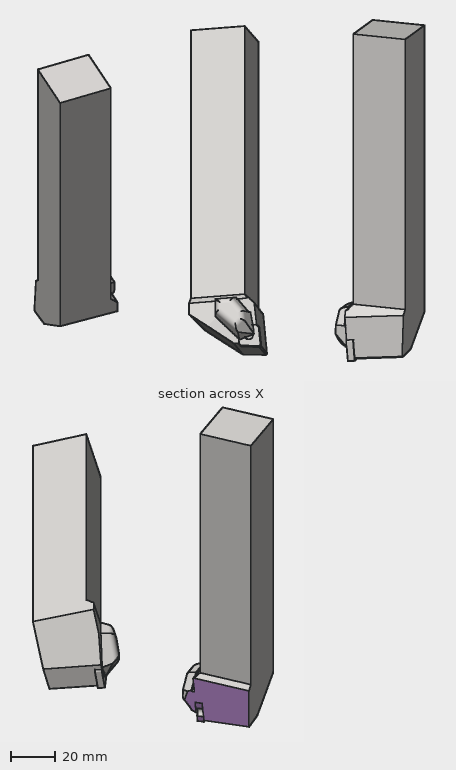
import cadquery as cq
import math


SHANK_SIZE = 25.0
TOOL_LENGTH = 151.35
TOOL_WIDTH = 32.36
TOOL_HEIGHT = 33.66
HEAD_TOP_Y = 28.36
SHOULDER_Z = 24.9
HEEL_Z = 17.3
HEEL_ANGLE = 36.0
HEEL_DRAFT = 1.5
FLANK_INSET = 0.75
CORNER_BEVEL = 0.5

INSCRIBED_DIAMETER = 9.525
INSERT_THICKNESS = 3.18
INSERT_HOLE_DIAMETER = 3.81
NOSE_RADIUS = 0.8
NOSE_ANGLE = 80.0
TILT_ANGLE = 6.0

CLAMP_BASE_Y = 26.0
CLAMP_TAPER = 20.0
CLAMP_SIDE_BEND_Z = 15.6
CLAMP_OUTLINE = [
    (2.6, 23.5),
    (13.6, 23.5),
    (13.6, 14.0),
    (2.0, 3.2),
    (-4.7, 5.5),
    (-3.6, CLAMP_SIDE_BEND_Z),
]
CLAMP_NOSE_POINT = (-3.0, 26.5, 4.4)
CLAMP_NOSE_NORMAL = (-1.0, 1.2, -1.0)
UNDERCUT_Z = CLAMP_SIDE_BEND_Z
CLAMP_EDGE_RADIUS = 3.0

REACH = 400.0

tilt = math.tan(math.radians(TILT_ANGLE))
half_nose = math.radians(NOSE_ANGLE / 2)
rake_normal = cq.Vector(-tilt, 1, -tilt).normalized()
half_length = INSCRIBED_DIAMETER / 2 / math.sin(half_nose)
bisector = cq.Vector(1, 2 * tilt, 1).normalized()
nose_center = cq.Vector(SHANK_SIZE - TOOL_WIDTH + NOSE_RADIUS, SHANK_SIZE, NOSE_RADIUS)
sharp_corner = nose_center - bisector * (NOSE_RADIUS / math.sin(half_nose))
rake_plane = cq.Plane(origin=sharp_corner, xDir=bisector, normal=rake_normal)


def outside(point, normal):
    """Block filling the half-space beyond a plane through the point, on the side of the normal."""
    plane = cq.Plane(origin=point, normal=normal)
    return cq.Workplane(plane).rect(REACH, REACH).extrude(REACH)


def make_insert_blank():
    """Rhombic insert without its hole, hanging from the rake plane by its nose corner."""
    half_width = INSCRIBED_DIAMETER / 2 / math.cos(half_nose)
    corners = [(0, 0), (half_length, -half_width), (2 * half_length, 0), (half_length, half_width)]
    blank = cq.Workplane(rake_plane).polyline(corners).close().extrude(-INSERT_THICKNESS)
    side_edges = cq.selectors.ParallelDirSelector(rake_normal)
    return blank.edges(side_edges).fillet(NOSE_RADIUS)


def make_insert(blank):
    """Insert with its central hole."""
    hole = (
        cq.Workplane(rake_plane).center(half_length, 0)
        .circle(INSERT_HOLE_DIAMETER / 2).extrude(-INSERT_THICKNESS)
    )
    return blank.cut(hole)


def flank_normal(side):
    """Outward normal of an insert flank: side -1 faces -Z, side +1 faces -X."""
    across = rake_normal.cross(bisector)
    return bisector * -math.sin(half_nose) + across * (-side * math.cos(half_nose))


def make_shank_and_head():
    """Shank with the shouldered, drafted head, before the clamp and the insert pocket."""
    shank = cq.Workplane("XY").box(SHANK_SIZE, SHANK_SIZE, TOOL_LENGTH, centered=False)
    head = cq.Workplane("XY").box(TOOL_WIDTH, HEAD_TOP_Y, SHOULDER_Z, centered=False)
    head = head.translate((SHANK_SIZE - TOOL_WIDTH, 0, 0))
    head = head.cut(outside((0, 0, SHOULDER_Z), (-1, 0, 1)))
    head = head.cut(outside((0, SHANK_SIZE, SHOULDER_Z), (0, 1, 1)))
    body = shank.union(head)

    below_shoulder = outside((0, 0, SHOULDER_Z), (0, 0, -1))
    lower = body.intersect(below_shoulder)
    upper = body.cut(below_shoulder)
    lower = lower.cut(outside(sharp_corner, rake_normal))
    for side in (-1, 1):
        normal = flank_normal(side)
        lower = lower.cut(outside(sharp_corner - normal * FLANK_INSET, normal))
    bevel_offset = FLANK_INSET / math.sin(half_nose) + CORNER_BEVEL
    lower = lower.cut(outside(sharp_corner + bisector * bevel_offset, bisector * -1))
    heel = math.radians(HEEL_ANGLE)
    heel_normal = (math.sin(heel), -math.tan(math.radians(HEEL_DRAFT)), -math.cos(heel))
    lower = lower.cut(outside((SHANK_SIZE, 0, HEEL_Z), heel_normal))
    return upper.union(lower)


def make_clamp():
    """Tapered clamp with a sloping nose and a rounded top edge."""
    base_plane = cq.Plane(origin=(0, CLAMP_BASE_Y, 0), xDir=(1, 0, 0), normal=(0, 1, 0))
    outline = [(x, -z) for x, z in CLAMP_OUTLINE]
    clamp = (
        cq.Workplane(base_plane).polyline(outline).close()
        .extrude(TOOL_HEIGHT - CLAMP_BASE_Y, taper=CLAMP_TAPER)
    )
    clamp = clamp.cut(outside(CLAMP_NOSE_POINT, CLAMP_NOSE_NORMAL))
    clamp = clamp.faces(">Y").edges().fillet(CLAMP_EDGE_RADIUS)
    below_head_top = outside((0, HEAD_TOP_Y, 0), (0, -1, 0))
    rear = outside((0, 0, UNDERCUT_Z), (0, 0, 1))
    return clamp.cut(below_head_top.intersect(rear))


insert_blank = make_insert_blank()
insert = make_insert(insert_blank)
holder = make_shank_and_head().union(make_clamp()).cut(insert_blank)

result = cq.Compound.makeCompound([holder.solids().val(), insert.solids().val()])